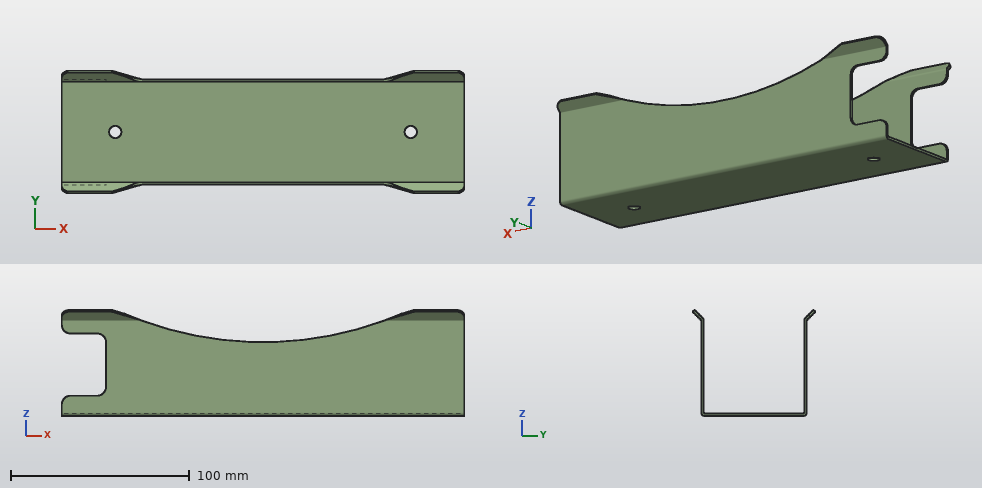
import cadquery as cq
import math

length = 225.0
flange_span = 68.6
height = 59.5
channel_width = 59.0
thickness = 1.5
outer_bend_radius = 2.0
inner_bend_radius = outer_bend_radius - thickness

flange_angle = 45.0
flange_corner_radius = 4.5
flange_flat_length = 28.0
flange_base_length = 43.0

saddle_bottom = 41.5
notch_depth = 24.8
notch_bottom = 11.5
notch_top = 46.1
notch_radius = 5.0
hole_diameter = 6.8
hole_end_distance = 30.0

angle = math.radians(flange_angle)
half_width = channel_width / 2
half_span = flange_span / 2
lean_y = math.cos(angle)
lean_z = math.sin(angle)
tip_lower_z = height - thickness * lean_y
tip_upper_y = half_span - thickness * lean_z
flange_length = (half_span - half_width) / lean_y
outer_bend_z = tip_lower_z - flange_length * lean_z
inner_bend_z = outer_bend_z + thickness * math.tan(angle / 2)

saddle_half_chord = length / 2 - flange_base_length
saddle_sag = inner_bend_z - saddle_bottom
saddle_radius = (saddle_half_chord**2 + saddle_sag**2) / (2 * saddle_sag)


def edges_along(y, z):
    """Select the pair of lengthwise edges at height z and distance y either side of centre."""
    reach = thickness / 4
    pair = [
        cq.selectors.BoxSelector(
            (0, side * y - reach, z - reach), (length, side * y + reach, z + reach)
        )
        for side in (1, -1)
    ]
    return pair[0] + pair[1]


def make_channel():
    """Constant-thickness channel with outward flanges, extruded along X."""
    right_side = [
        (half_width, 0),
        (half_width, outer_bend_z),
        (half_span, tip_lower_z),
        (tip_upper_y, height),
        (half_width - thickness, inner_bend_z),
        (half_width - thickness, thickness),
    ]
    left_side = [(-y, z) for y, z in reversed(right_side)]
    channel = cq.Workplane("YZ").polyline(right_side + left_side).close().extrude(length)
    inner_y = half_width - thickness
    convex_bends = [(half_width, 0), (inner_y, inner_bend_z)]
    concave_bends = [(inner_y, thickness), (half_width, outer_bend_z)]
    for bends, radius in ((convex_bends, outer_bend_radius), (concave_bends, inner_bend_radius)):
        for y, z in bends:
            channel = channel.edges(edges_along(y, z)).fillet(radius)
    return channel


def make_saddle():
    """Cylinder that dips into both side walls."""
    return (
        cq.Workplane("XZ")
        .center(length / 2, saddle_bottom + saddle_radius)
        .circle(saddle_radius)
        .extrude(half_span, both=True)
    )


def make_notch():
    """End notch through both walls, with rounded inner corners and rounded mouth."""
    r = notch_radius
    return (
        cq.Workplane("XZ")
        .moveTo(0, notch_bottom - r)
        .radiusArc((r, notch_bottom), r)
        .lineTo(notch_depth - r, notch_bottom)
        .radiusArc((notch_depth, notch_bottom + r), -r)
        .lineTo(notch_depth, notch_top - r)
        .radiusArc((notch_depth - r, notch_top), -r)
        .lineTo(r, notch_top)
        .radiusArc((0, notch_top + r), r)
        .close()
        .extrude(half_span, both=True)
    )


def make_flange_trim(side):
    """Waste around the two flange tabs, cut square to the flange on one side (+1 or -1)."""
    plane = cq.Plane(
        origin=(0, side * half_width, outer_bend_z),
        xDir=(1, 0, 0),
        normal=(0, -side * lean_z, lean_y),
    )
    root = thickness * math.tan(angle / 2)
    tip = flange_length
    r = flange_corner_radius
    gap = (
        cq.Workplane(plane)
        .polyline([
            (flange_flat_length, side * tip),
            (flange_base_length, side * root),
            (length - flange_base_length, side * root),
            (length - flange_flat_length, side * tip),
        ])
        .close()
        .extrude(thickness * 2, both=True)
    )
    for end, inward in ((0, 1), (length, -1)):
        corner = (
            cq.Workplane(plane)
            .moveTo(end, side * (tip - r))
            .radiusArc((end + inward * r, side * tip), side * inward * r)
            .lineTo(end, side * tip)
            .close()
            .extrude(thickness * 2, both=True)
        )
        gap = gap.union(corner)
    return gap


def make_holes():
    """Two mounting holes on the centreline of the base."""
    return (
        cq.Workplane("XY")
        .pushPoints([(hole_end_distance, 0), (length - hole_end_distance, 0)])
        .circle(hole_diameter / 2)
        .extrude(thickness * 2)
    )


result = make_channel().cut(make_saddle()).cut(make_notch()).cut(make_holes())
for side in (1, -1):
    result = result.cut(make_flange_trim(side))